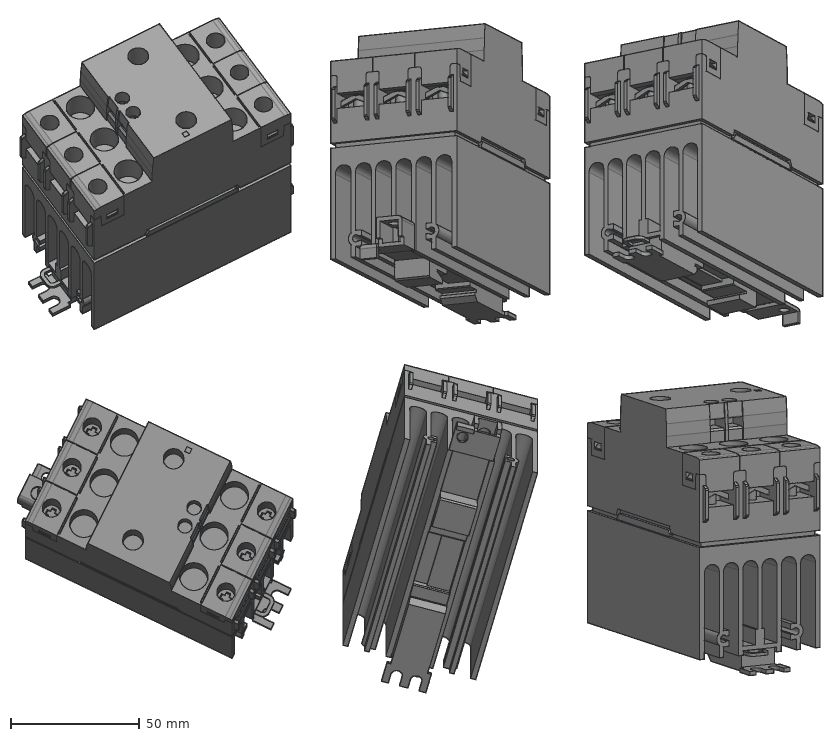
import cadquery as cq

ENDS = (-1, 1)

width = 53.8
depth = 89.8
half_width = width / 2
half_depth = depth / 2
pole_count = 3
pole_pitch = width / pole_count
pole_positions = [(i - (pole_count - 1) / 2) * pole_pitch for i in range(pole_count)]

sink_bottom = 6.6
sink_top = 51.0
housing_bottom = 53.0
shoulder_top = 86.5
tower_top = 101.6

gap_count = 6
gap_pitch = 8.6
gap_width = 6.7
gap_radius = gap_width / 2
gap_crown = 43.9
boss_x = 16.1
boss_z = 14.0
boss_radius = 3.2
boss_bore_radius = 1.4
boss_mouth_width = 2.0
boss_jaw_x = 13.8
floor_top = 10.2
floor_bottom = 8.5
foot_width = 4.1
foot_top = 16.4

neck_inset = 1.5
tower_half_depth_top = 17.7
tower_half_depth_mid = 18.3
tower_half_depth = 18.5
facet_z_upper = 95.8
facet_z_lower = 90.9
skirt_notch_top = 55.7
skirt_notch_half_top = 20.6
skirt_notch_half_bottom = 21.8
tab_top = 54.0
tab_knee_z = 52.4
tab_bottom = 51.5
tab_relief_width = 0.5
tab_relief_top = 52.0
tab_half_top = 19.7
tab_half_bottom = 21.0
access_depth = 11.0
fixing_hole_diameter = 8.0
fixing_hole_y = 2.5
wire_hole_diameter = 11.0
wire_hole_y = 23.9
window_size = 2.1
window_x = 23.5
window_y = -1.1
window_recess = 0.1

plug_width = 6.7
plug_spacing = 1.3
plug_centre_x = (plug_width + plug_spacing) / 2
plug_face_recess = 0.5
plug_mouth_top = 95.5
plug_mouth_bottom = 91.6
plug_lip_depth = 1.1
plug_depth = 8.2
plug_hole_diameter = 5.6
plug_hole_y = -13.2

opening_width = 12.3
opening_bottom = 66.7
opening_top = 72.7
opening_depth = 11.0
screw_y = 37.8
shank_diameter = 4.1
cross_length = 4.7
cross_width = 1.8
cross_depth = 0.7
clamp_setback = 4.0
clamp_thickness = 1.3
clamp_side_bottom = 68.2
clamp_side_top = 70.4
clamp_peak_bottom = 70.8
clamp_peak_top = 72.2
clamp_flat_width = 3.7
barrier_thickness = 1.3
barrier_reach = 2.1
barrier_bottom = 60.8
barrier_top = 75.6
barrier_knee_reach = 1.6
barrier_knee_drop = 1.0
barrier_tip_drop = 1.6
pry_slot_length = 16.0
pry_slot_width = 0.7
pry_slot_depth = 1.6

cover_inner_y = 31.2
cover_step_y = 41.5
cover_step_top_y = 41.8
cover_step_z = 80.0
cover_bottom = 73.6
cover_edge_z = 85.8
cover_bevel_knee_y = 43.8
cover_bevel_knee_z = 86.1
cover_bevel_top_y = 41.9
cover_corner_radius = 1.0
groove_width = 0.16
groove_depth = 0.3
screw_hole_diameter = 7.2
snap_inner_y = 34.1
snap_outer_y = 39.0
snap_top = 79.3
snap_upper_edge = 78.1
snap_lower_edge = 77.0
snap_bottom = 76.5
snap_depth_top = 2.4
snap_depth_mid = 1.3
snap_depth_bottom = 0.3

clip_width = 14.8
clip_half_width = clip_width / 2
clip_front_y = -43.3
clip_rear_y = -12.1
clip_foot_y = -19.0
clip_nose_y = -16.7
clip_nose_bottom = 2.2
clip_nose_top = 3.3
clip_throat_y = -18.3
clip_throat_bottom = 3.7
rail_seat_z = 4.6
rail_seat_bevel = 0.4
fork_width = 17.9
fork_half_width = fork_width / 2
fork_front_y = -52.9
fork_thickness = 1.6
fork_slot_width = 4.5
fork_slot_x = 4.0
fork_slot_end_y = -47.0
latch_left = -7.2
latch_right = 2.0
latch_bottom = 6.8
latch_top = 8.0
latch_front_y = -49.9
latch_rail_width = 1.5
latch_bend_radius = 2.8
hook_front_y = 10.2
hook_rear_y = 27.1
hook_heel_bevel = 0.7
hook_nose_bottom_y = 14.7
hook_nose_top_y = 14.4
hook_nose_top = 1.9
hook_throat_y = 19.6
hook_throat_bottom = 3.8
bracket_rear_y = 57.1
bracket_half_width = fork_half_width
bracket_plate_top = 8.4
bracket_plate_rear_y = 55.1
bracket_sheet = 1.6
arch_right = latch_right
arch_top = 18.4
arch_bend_radius = 1.9
arch_floor_clear = 10.0
lug_bottom = 2.3
lug_bend_radius = 2.0
earth_hole_diameter = 5.2
earth_hole_x = -3.4
bracket_hole_diameter = 4.3
bracket_hole_x = 5.3
earth_hole_y = 51.0
bracket_hole_y = 51.3


def box(x0, x1, y0, y1, z0, z1):
    """Box between two opposite corners."""
    return cq.Workplane("XY").box(x1 - x0, y1 - y0, z1 - z0, centered=False).translate((x0, y0, z0))


def prism_along_x(points, x0, x1):
    """Extrude a (y, z) outline from x0 to x1."""
    return cq.Workplane("YZ").polyline(points).close().extrude(x1 - x0).translate((x0, 0, 0))


def prism_along_y(points, y0, y1):
    """Extrude an (x, z) outline from y0 to y1."""
    return cq.Workplane("XZ").polyline(points).close().extrude(y0 - y1).translate((0, y0, 0))


def pin(x, y, diameter, z0, z1):
    """Vertical cylinder between two levels."""
    return cq.Workplane("XY").center(x, y).circle(diameter / 2).extrude(z1 - z0).translate((0, 0, z0))


def rod(x, z, radius):
    """Cylinder along the full depth of the heat sink."""
    return cq.Workplane("XZ").center(x, z).circle(radius).extrude(depth).translate((0, half_depth, 0))


def mirrored_in_y(points, end):
    """Place a (y, z) outline drawn for the +Y end at either end."""
    return [(end * y, z) for y, z in points]


def screw_boss(side):
    """C-shaped screw channel on one fin, open towards the middle."""
    centre = side * boss_x
    jaw = side * boss_jaw_x
    left, right = sorted((centre, jaw))
    boss = rod(centre, boss_z, boss_radius).union(
        box(left, right, -half_depth, half_depth, boss_z - boss_radius, boss_z + boss_radius)
    )
    beyond_left, beyond_right = sorted((jaw, jaw - side * boss_radius))
    return boss.cut(
        box(beyond_left, beyond_right, -half_depth, half_depth, boss_z - boss_radius, boss_z + boss_radius)
    )


def screw_boss_bore(side):
    centre = side * boss_x
    left, right = sorted((centre, side * boss_jaw_x))
    half_mouth = boss_mouth_width / 2
    mouth = box(left, right, -half_depth, half_depth, boss_z - half_mouth, boss_z + half_mouth)
    return rod(centre, boss_z, boss_bore_radius).union(mouth)


def make_heat_sink():
    sink = box(-half_width, half_width, -half_depth, half_depth, sink_bottom, sink_top)
    crown_centre_z = gap_crown - gap_radius
    for i in range(gap_count):
        x = (i - (gap_count - 1) / 2) * gap_pitch
        sides = box(
            x - gap_radius, x + gap_radius, -half_depth, half_depth, sink_bottom, crown_centre_z
        )
        sink = sink.cut(sides.union(rod(x, crown_centre_z, gap_radius)))

    half_foot = foot_width / 2
    sink = sink.union(box(-gap_pitch, gap_pitch, -half_depth, half_depth, sink_bottom, floor_top))
    sink = sink.cut(
        box(-clip_half_width, clip_half_width, -half_depth, half_depth, sink_bottom, floor_bottom)
    )
    sink = sink.union(box(-half_foot, half_foot, -half_depth, half_depth, floor_top, foot_top))

    for side in ENDS:
        sink = sink.union(screw_boss(side)).cut(screw_boss_bore(side))
    return sink


def cover_block(end):
    """Envelope of one terminal cover: a beveled slab with a leg over each wire opening."""
    side_outline = [
        (cover_inner_y, cover_bottom),
        (cover_step_y, cover_bottom),
        (cover_step_top_y, cover_step_z),
        (half_depth, cover_step_z),
        (half_depth, cover_edge_z),
        (cover_bevel_knee_y, cover_bevel_knee_z),
        (cover_bevel_top_y, shoulder_top),
        (cover_inner_y, shoulder_top),
    ]
    block = prism_along_x(mirrored_in_y(side_outline, end), -half_width, half_width)
    y0, y1 = sorted((end * cover_step_y, end * half_depth))
    half_leg = opening_width / 2
    radius = cover_corner_radius
    for x in pole_positions:
        block = block.union(box(x - half_leg, x + half_leg, y0, y1, opening_top, cover_step_z))
        for side in ENDS:
            corner_x = x + side * half_leg
            outer_x = corner_x + side * radius
            left, right = sorted((corner_x, outer_x))
            web = box(left, right, y0, y1, cover_step_z - radius, cover_step_z)
            web = web.cut(rod(outer_x, cover_step_z - radius, radius))
            block = block.union(web)
    return block


def snap_window(side, end):
    """Stepped catch window in the outer side of a cover."""
    outline = [
        (0, snap_bottom),
        (0, snap_top),
        (snap_depth_top, snap_top),
        (snap_depth_mid, snap_upper_edge),
        (snap_depth_bottom, snap_lower_edge),
        (snap_depth_bottom, snap_bottom),
    ]
    y0, y1 = sorted((end * snap_inner_y, end * snap_outer_y))
    return prism_along_y([(side * (half_width - x), z) for x, z in outline], y0, y1)


def make_cover(end):
    cover = cover_block(end)
    for x in pole_positions:
        cover = cover.cut(pin(x, end * screw_y, screw_hole_diameter, cover_bottom, shoulder_top))
    for side in ENDS:
        cover = cover.cut(snap_window(side, end))

    skin = [
        (cover_inner_y, shoulder_top),
        (cover_bevel_top_y, shoulder_top),
        (cover_bevel_knee_y, cover_bevel_knee_z),
        (half_depth, cover_edge_z),
        (half_depth, cover_step_z),
        (half_depth - groove_depth, cover_step_z),
        (half_depth - groove_depth, cover_edge_z - groove_depth),
        (cover_inner_y, shoulder_top - groove_depth - (shoulder_top - cover_edge_z)),
    ]
    for side in ENDS:
        x = side * pole_pitch / 2
        groove = prism_along_x(mirrored_in_y(skin, end), x - groove_width / 2, x + groove_width / 2)
        cover = cover.cut(groove)
    return cover


def housing_shell():
    """Stepped body with the faceted tower, standing on a recessed neck."""
    half_outline = [
        (half_depth, housing_bottom),
        (half_depth, cover_step_z),
        (cover_inner_y, cover_step_z),
        (cover_inner_y, shoulder_top),
        (tower_half_depth, shoulder_top),
        (tower_half_depth, facet_z_lower),
        (tower_half_depth_mid, facet_z_upper),
        (tower_half_depth_top, tower_top),
    ]
    outline = half_outline + [(-y, z) for y, z in reversed(half_outline)]
    shell = prism_along_x(outline, -half_width, half_width)
    neck_x = half_width - neck_inset
    neck_y = half_depth - neck_inset
    return shell.union(box(-neck_x, neck_x, -neck_y, neck_y, sink_top, housing_bottom))


def skirt_notch(x0, x1):
    return prism_along_x(
        [
            (-skirt_notch_half_bottom, housing_bottom),
            (-skirt_notch_half_top, skirt_notch_top),
            (skirt_notch_half_top, skirt_notch_top),
            (skirt_notch_half_bottom, housing_bottom),
        ],
        x0,
        x1,
    )


def neck_tab(x0, x1):
    return prism_along_x(
        [
            (-tab_half_bottom, tab_bottom),
            (-tab_half_bottom, tab_knee_z),
            (-tab_half_top, tab_top),
            (tab_half_top, tab_top),
            (tab_half_bottom, tab_knee_z),
            (tab_half_bottom, tab_bottom),
        ],
        x0,
        x1,
    )


def plug_socket(x):
    """Recessed tower face with a mouth whose lower lip slopes outward."""
    left = x - plug_width / 2
    right = x + plug_width / 2
    front = -tower_half_depth
    recessed_front = front + plug_face_recess
    face = prism_along_x(
        [
            (front, shoulder_top),
            (recessed_front, shoulder_top),
            (recessed_front, facet_z_lower),
            (-tower_half_depth_mid + plug_face_recess, facet_z_upper),
            (-tower_half_depth_top + plug_face_recess, tower_top),
            (front, tower_top),
        ],
        left,
        right,
    )
    mouth = prism_along_x(
        [
            (front, facet_z_lower),
            (recessed_front, facet_z_lower),
            (recessed_front + plug_lip_depth, plug_mouth_bottom),
            (front + plug_depth, plug_mouth_bottom),
            (front + plug_depth, plug_mouth_top),
            (front, plug_mouth_top),
        ],
        left,
        right,
    )
    return face.union(mouth)


def clamp_plate(x, end):
    """Roof-shaped wire clamp spanning a terminal opening."""
    half_span = opening_width / 2
    half_flat = clamp_flat_width / 2
    outline = [
        (x - half_span, clamp_side_bottom),
        (x, clamp_peak_bottom),
        (x + half_span, clamp_side_bottom),
        (x + half_span, clamp_side_top),
        (x + half_flat, clamp_peak_top),
        (x - half_flat, clamp_peak_top),
        (x - half_span, clamp_side_top),
    ]
    outer = half_depth - clamp_setback
    y0, y1 = sorted((end * outer, end * (outer - clamp_thickness)))
    return prism_along_y(outline, y0, y1)


def barrier(x, end):
    """Thin beveled fin standing out beside a terminal opening."""
    tip = half_depth + barrier_reach
    knee = half_depth + barrier_knee_reach
    outline = [
        (half_depth - barrier_reach, barrier_bottom),
        (half_depth, barrier_bottom),
        (knee, barrier_bottom + barrier_knee_drop),
        (tip, barrier_bottom + barrier_tip_drop),
        (tip, barrier_top - barrier_tip_drop),
        (knee, barrier_top - barrier_knee_drop),
        (half_depth, barrier_top),
        (half_depth - barrier_reach, barrier_top),
    ]
    half_thick = barrier_thickness / 2
    return prism_along_x(mirrored_in_y(outline, end), x - half_thick, x + half_thick)


def cross_recess(x, y):
    """Cross-head drive in the top of a terminal screw."""
    z0 = cover_bottom - cross_depth
    half_long = cross_length / 2
    half_wide = cross_width / 2
    arm_x = box(x - half_long, x + half_long, y - half_wide, y + half_wide, z0, cover_bottom)
    arm_y = box(x - half_wide, x + half_wide, y - half_long, y + half_long, z0, cover_bottom)
    return arm_x.union(arm_y)


def add_terminal(housing, x, end):
    """Wire opening, screw, clamp, barriers and access holes of one pole at one end."""
    half_open = opening_width / 2
    y0, y1 = sorted((end * (half_depth - opening_depth), end * half_depth))
    housing = housing.cut(box(x - half_open, x + half_open, y0, y1, opening_bottom, opening_top))
    housing = housing.union(pin(x, end * screw_y, shank_diameter, opening_bottom, opening_top))
    housing = housing.union(clamp_plate(x, end))
    housing = housing.cut(cross_recess(x, end * screw_y))
    for side in ENDS:
        housing = housing.union(barrier(x + side * (half_open + barrier_thickness / 2), end))

    housing = housing.cut(
        pin(x, end * wire_hole_y, wire_hole_diameter, shoulder_top - access_depth, shoulder_top)
    )
    half_slot = pry_slot_length / 2
    s0, s1 = sorted((end * (cover_inner_y - pry_slot_width), end * cover_inner_y))
    return housing.cut(
        box(x - half_slot, x + half_slot, s0, s1, shoulder_top - pry_slot_depth, shoulder_top)
    )


def make_housing():
    housing = housing_shell()
    for side in ENDS:
        neck_face = side * (half_width - neck_inset)
        x0, x1 = sorted((neck_face, side * half_width))
        housing = housing.cut(skirt_notch(x0, x1)).union(neck_tab(x0, x1))
        r0, r1 = sorted((neck_face, neck_face + side * tab_relief_width))
        housing = housing.cut(box(r0, r1, -tab_half_bottom, tab_half_bottom, tab_bottom, tab_relief_top))
        housing = housing.cut(plug_socket(side * plug_centre_x))
        housing = housing.cut(
            pin(side * plug_centre_x, plug_hole_y, plug_hole_diameter, plug_mouth_top, tower_top)
        )
        housing = housing.cut(
            pin(side * pole_pitch, fixing_hole_y, fixing_hole_diameter, tower_top - access_depth, tower_top)
        )
    half_window = window_size / 2
    housing = housing.cut(
        box(
            window_x - half_window,
            window_x + half_window,
            window_y - half_window,
            window_y + half_window,
            tower_top - window_recess,
            tower_top,
        )
    )
    for end in ENDS:
        housing = housing.cut(cover_block(end))
        for x in pole_positions:
            housing = add_terminal(housing, x, end)
    return housing


def make_rail_clip():
    """Fixed rail hook with a forked mounting foot at the front."""
    outline = [
        (clip_front_y, 0),
        (clip_foot_y, 0),
        (clip_nose_y, clip_nose_bottom),
        (clip_nose_y, clip_nose_top),
        (clip_throat_y, clip_throat_bottom),
        (clip_throat_y, rail_seat_z),
        (clip_rear_y - rail_seat_bevel, rail_seat_z),
        (clip_rear_y, rail_seat_z + rail_seat_bevel),
        (clip_rear_y, floor_bottom),
        (clip_front_y, floor_bottom),
    ]
    clip = prism_along_x(outline, -clip_half_width, clip_half_width)
    clip = clip.cut(
        box(-clip_half_width, latch_right, clip_front_y, clip_rear_y, latch_bottom, floor_bottom)
    )
    clip = clip.union(
        box(-clip_half_width, clip_half_width, -half_depth, clip_front_y, 0, fork_thickness)
    )
    fork = box(-fork_half_width, fork_half_width, fork_front_y, -half_depth, 0, fork_thickness)
    for side in ENDS:
        x = side * fork_slot_x
        slot_centre_y = fork_slot_end_y - fork_slot_width / 2
        half_slot = fork_slot_width / 2
        slot = box(x - half_slot, x + half_slot, fork_front_y, slot_centre_y, 0, fork_thickness)
        fork = fork.cut(slot.union(pin(x, slot_centre_y, fork_slot_width, 0, fork_thickness)))
    return clip.union(fork)


def make_rail_latch():
    """Sliding strip with a pull loop at the front and the sprung rail hook at the rear."""
    strip = box(latch_left, latch_right, latch_front_y, hook_rear_y, latch_bottom, latch_top)
    strip = strip.edges("|Z and <Y").fillet(latch_bend_radius)
    loop_hole = box(
        latch_left + latch_rail_width,
        latch_right - latch_rail_width,
        latch_front_y + latch_rail_width,
        clip_front_y,
        latch_bottom,
        latch_top,
    )
    loop_hole = loop_hole.edges("|Z and <Y").fillet(latch_bend_radius - latch_rail_width)
    hook_outline = [
        (hook_rear_y, hook_heel_bevel),
        (hook_rear_y - hook_heel_bevel, 0),
        (hook_nose_bottom_y, 0),
        (hook_nose_top_y, hook_nose_top),
        (hook_throat_y, hook_throat_bottom),
        (hook_throat_y, rail_seat_z),
        (hook_front_y + rail_seat_bevel, rail_seat_z),
        (hook_front_y, rail_seat_z + rail_seat_bevel),
        (hook_front_y, latch_top),
        (hook_rear_y, latch_top),
    ]
    hook = prism_along_x(hook_outline, -clip_half_width, clip_half_width)
    return strip.cut(loop_hole).union(hook)


def make_earth_bracket():
    """Bent sheet behind the heat sink: an arch on the left and a lug bent down on the right."""
    left = -bracket_half_width
    plate = box(
        left, bracket_half_width, half_depth, bracket_plate_rear_y, latch_bottom, bracket_plate_top
    )
    lug = box(
        arch_right, bracket_half_width, half_depth, bracket_rear_y, lug_bottom, bracket_plate_top
    )
    lug = lug.edges("|X and >Y and >Z").fillet(lug_bend_radius)
    lug = lug.cut(
        box(
            arch_right,
            bracket_half_width,
            half_depth,
            bracket_rear_y - bracket_sheet,
            lug_bottom,
            latch_bottom,
        )
    )

    arch = box(left, arch_right, half_depth, bracket_rear_y, latch_bottom, arch_top)
    arch = arch.edges("|Y and <X and >Z").fillet(arch_bend_radius)
    arch = arch.cut(
        box(
            left + bracket_sheet,
            arch_right - bracket_sheet,
            half_depth,
            bracket_rear_y,
            bracket_plate_top,
            arch_top - bracket_sheet,
        )
    )
    arch = arch.cut(
        box(left, arch_right, bracket_plate_rear_y, bracket_rear_y, latch_bottom, arch_floor_clear)
    )
    bracket = plate.union(lug).union(arch)
    bracket = bracket.cut(
        pin(earth_hole_x, earth_hole_y, earth_hole_diameter, arch_top - bracket_sheet, arch_top)
    )
    return bracket.cut(
        pin(bracket_hole_x, bracket_hole_y, bracket_hole_diameter, latch_bottom, bracket_plate_top)
    )


heat_sink = make_heat_sink()
housing = make_housing()
covers = [make_cover(end) for end in ENDS]
rail_clip = make_rail_clip()
rail_latch = make_rail_latch()
earth_bracket = make_earth_bracket()

result = cq.Compound.makeCompound(
    [
        heat_sink.val(),
        housing.val(),
        *[cover.val() for cover in covers],
        rail_clip.val(),
        rail_latch.val(),
        earth_bracket.val(),
    ]
)